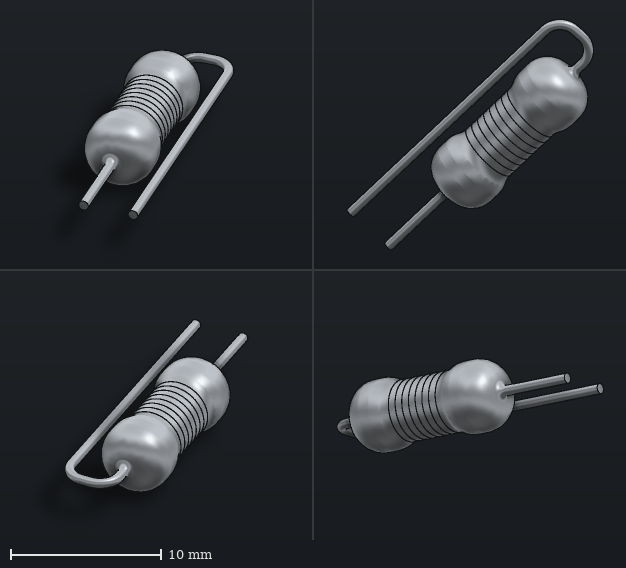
import cadquery as cq
import math


body_radius = 2.5
body_length = 12.0
body_start = 5.6
end_radius = 1.75
head_straight = 0.8
waist_radius = 4.25 / 2
shoulder_radius = 1.5

band_radius = 4.27 / 2
band_count = 4

wire_radius = 0.35
root_fillet = 0.5
lead_pitch = 3.5
bend_radius = 1.4
stub_length = 0.5

body_end = body_start + body_length
body_middle = body_start + body_length / 2

shoulder_angle = math.acos(1 - (body_radius - waist_radius) / (2 * shoulder_radius))
shoulder_length = 2 * shoulder_radius * math.sin(shoulder_angle)

waist_inset = end_radius + head_straight + shoulder_length
waist_start = body_start + waist_inset
waist_length = body_length - 2 * waist_inset
band_width = waist_length / (2 * band_count - 1)

end_centre_r = body_radius - end_radius
end_centre_y = body_start + end_radius
root_centre_r = wire_radius + root_fillet
root_angle = math.asin((root_centre_r - end_centre_r) / (end_radius + root_fillet))
root_centre_y = end_centre_y - (end_radius + root_fillet) * math.cos(root_angle)


def on_circle(centre_r, centre_y, radius, angle):
    """Point at `angle` from the radial direction toward +Y."""
    return (centre_r + radius * math.cos(angle), centre_y + radius * math.sin(angle))


def make_half_body():
    """Revolve the half of the body nearest Y = 0, including its root fillet."""
    root_tangent = math.pi / 2 + root_angle
    root_mid = on_circle(root_centre_r, root_centre_y, root_fillet, (root_tangent + math.pi) / 2)
    root_end = on_circle(root_centre_r, root_centre_y, root_fillet, root_tangent)
    end_mid = on_circle(end_centre_r, end_centre_y, end_radius, (root_tangent - math.pi) / 2)
    head_y = end_centre_y + head_straight
    convex_r = body_radius - shoulder_radius
    concave_r = waist_radius + shoulder_radius
    half_angle = shoulder_angle / 2
    profile = (
        cq.Workplane("XY")
        .moveTo(0, root_centre_y)
        .lineTo(wire_radius, root_centre_y)
        .threePointArc(root_mid, root_end)
        .threePointArc(end_mid, (body_radius, end_centre_y))
        .lineTo(body_radius, head_y)
        .threePointArc(
            on_circle(convex_r, head_y, shoulder_radius, half_angle),
            on_circle(convex_r, head_y, shoulder_radius, shoulder_angle),
        )
        .threePointArc(
            on_circle(concave_r, waist_start, shoulder_radius, math.pi + half_angle),
            (waist_radius, waist_start),
        )
        .lineTo(waist_radius, body_middle)
        .lineTo(0, body_middle)
        .close()
    )
    return profile.revolve(360, (0, 0, 0), (0, 1, 0))


def make_body():
    near_half = make_half_body()
    far_half = near_half.mirror("XZ", (0, body_middle, 0))
    return near_half.union(far_half)


def make_band(index):
    start = waist_start + 2 * index * band_width
    return cq.Workplane("XZ", origin=(0, start, 0)).circle(band_radius).extrude(-band_width)


def make_straight_lead():
    """Lead from Y = 0 to the near root fillet."""
    return cq.Workplane("XZ").circle(wire_radius).extrude(-root_centre_y)


def make_folded_lead():
    """Lead leaving the far end, turned back through two bends down to Y = 0."""
    start_y = 2 * body_middle - root_centre_y
    bend_y = start_y + stub_length
    top_y = bend_y + bend_radius
    diagonal = bend_radius * math.sqrt(0.5)
    return_bend_x = lead_pitch - bend_radius
    path = (
        cq.Workplane("XY")
        .moveTo(0, start_y)
        .lineTo(0, bend_y)
        .threePointArc((bend_radius - diagonal, bend_y + diagonal), (bend_radius, top_y))
        .lineTo(return_bend_x, top_y)
        .threePointArc((return_bend_x + diagonal, bend_y + diagonal), (lead_pitch, bend_y))
        .lineTo(lead_pitch, 0)
    )
    return cq.Workplane("XZ", origin=(0, start_y, 0)).circle(wire_radius).sweep(path)


result = make_body()
for band_index in range(band_count):
    result = result.union(make_band(band_index))
result = result.union(make_straight_lead()).union(make_folded_lead())